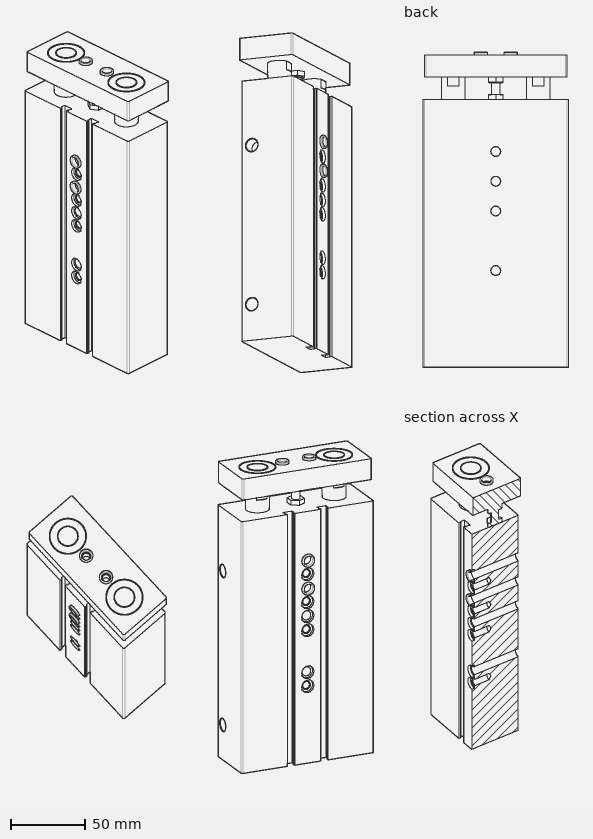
import cadquery as cq
import math

housing_width = 98.0
housing_depth = 38.0
housing_height = 180.0
housing_corner = 1.0
front_y = -housing_depth / 2

slot_inner_x = 10.0
slot_outer_x = 15.2
slot_depth = 5.0
slot_lip = 1.8
slot_chamfer = 0.5
slot_undercut = 0.7

hole_pitch = 10.0
through_hole_heights = (145.0, 125.0, 105.0, 65.0)
through_hole_diameter = 6.4
tapped_hole_diameter = 4.92
thread_diameter = 6.0
thread_chamfer = (thread_diameter - tapped_hole_diameter) / 2
tapped_hole_depth = 12.0
drill_point_angle = 118.0

sleeve_diameter = 9.0
sleeve_bore = 6.4
sleeve_seat_depth = 2.1
sleeve_protrusion = 1.8
sleeve_length = sleeve_seat_depth + sleeve_protrusion
sleeve_rim_radius = (sleeve_diameter - sleeve_bore) / 4
front_sleeve_heights = through_hole_heights[:2]

port_y = 11.3
port_diameter = 8.57
port_mouth_diameter = 9.4
port_chamfer = (port_mouth_diameter - port_diameter) / 2
upper_port_height = 135.0
lower_port_height = 25.0
upper_port_depth = 10.0

rod_x = 28.5
rod_diameter = 16.0
rod_end_diameter = 14.0
rod_end_chamfer = 0.4
flat_distance = 14.0
flat_height = 6.0
piston_diameter = 25.0
piston_bottom = 10.0
piston_length = 30.0

yoke_width = 96.0
yoke_depth = 39.0
yoke_thickness = 15.0
yoke_corner = 1.0
yoke_gap = 15.0
yoke_y = 1.5
yoke_bottom = housing_height + yoke_gap
yoke_top = yoke_bottom + yoke_thickness
yoke_sleeve_x = 10.0
yoke_hole_depth = 10.0
groove_outer_diameter = 25.0
groove_inner_diameter = 24.0
groove_depth = 0.3

screw_diameter = 6.0
nut_flats = 10.0
upper_nut_height = 4.0
lower_nut_height = 3.3
nut_chamfer = 0.7


def front_plane(z, depth=0.0):
    """Plane at height z, a given depth behind the front face, its normal pointing into the housing."""
    return cq.Plane(origin=(0, front_y + depth, z), xDir=(1, 0, 0), normal=(0, 1, 0))


def cylinder_on(plane, diameter, depth):
    return cq.Workplane(plane).circle(diameter / 2).extrude(depth)


def bore(x, diameter, bottom, top):
    """Upright cylinder on the rod plane y = 0."""
    return cq.Workplane("XY", origin=(x, 0, bottom)).circle(diameter / 2).extrude(top - bottom)


def drilled_hole(plane, diameter, depth, mouth_chamfer):
    """Cutter for a blind hole with a drill point and a countersunk mouth."""
    radius = diameter / 2
    point_length = radius / math.tan(math.radians(drill_point_angle / 2))
    profile = (
        cq.Workplane("XZ")
        .polyline([
            (0, 0),
            (radius + mouth_chamfer, 0),
            (radius, mouth_chamfer),
            (radius, depth),
            (0, depth + point_length),
        ])
        .close()
    )
    cutter = profile.revolve(360, (0, 0), (0, 1)).val()
    return cq.Workplane(cutter.moved(cq.Location(plane)))


def piston_rod(x):
    """Rod with a piston at its foot, wrench flats under the yoke and a slim end inside the yoke."""
    shank = bore(x, rod_diameter, piston_bottom, yoke_bottom)
    flats = (
        cq.Workplane("XY", origin=(x, 0, yoke_bottom - flat_height))
        .rect(rod_diameter, 2 * rod_diameter)
        .rect(rod_diameter, flat_distance)
        .extrude(flat_height)
    )
    piston = bore(x, piston_diameter, piston_bottom, piston_bottom + piston_length)
    rod_end = bore(x, rod_end_diameter, yoke_bottom, yoke_top).faces(">Z").chamfer(rod_end_chamfer)
    return shank.cut(flats).union(piston).union(rod_end)


def t_slot(side):
    """Cutter for one T-slot; side is -1 for the left slot and 1 for the right slot."""
    middle = side * (slot_inner_x + slot_outer_x) / 2
    mouth_width = slot_outer_x - slot_inner_x
    mouth = (
        cq.Workplane("XY", origin=(middle, front_y, 0))
        .rect(mouth_width, 2 * slot_depth)
        .extrude(housing_height)
    )
    head_depth = slot_depth - slot_lip
    head = (
        cq.Workplane("XY", origin=(middle, front_y + slot_lip + head_depth / 2, 0))
        .rect(mouth_width + 2 * slot_undercut, head_depth)
        .extrude(housing_height)
    )
    bevel = (
        cq.Workplane("XY")
        .polyline([
            (side * slot_inner_x, front_y),
            (side * (slot_inner_x - slot_chamfer), front_y),
            (side * slot_inner_x, front_y + slot_chamfer),
        ])
        .close()
        .extrude(housing_height)
    )
    return mouth.union(head).union(bevel)


def port_plane(z):
    """Plane on the left side at a port, its normal pointing into the housing."""
    return cq.Plane(origin=(-housing_width / 2, port_y, z), xDir=(0, 1, 0), normal=(1, 0, 0))


def build_housing(rods):
    body = (
        cq.Workplane("XY")
        .rect(housing_width, housing_depth)
        .extrude(housing_height)
        .edges("|Z")
        .fillet(housing_corner)
    )
    for side in (-1, 1):
        body = body.cut(t_slot(side))
    for height in through_hole_heights:
        body = body.cut(cylinder_on(front_plane(height), through_hole_diameter, housing_depth))
        body = body.cut(cylinder_on(front_plane(height), sleeve_diameter, sleeve_seat_depth))
        tapped_height = height - hole_pitch
        body = body.cut(cylinder_on(front_plane(tapped_height), sleeve_diameter, sleeve_seat_depth))
        seat_floor = front_plane(tapped_height, sleeve_seat_depth)
        body = body.cut(drilled_hole(seat_floor, tapped_hole_diameter, tapped_hole_depth, thread_chamfer))
    lower_port_depth = housing_width / 2 - rod_x
    port_depths = ((upper_port_height, upper_port_depth), (lower_port_height, lower_port_depth))
    for height, depth in port_depths:
        body = body.cut(drilled_hole(port_plane(height), port_diameter, depth, port_chamfer))
    for rod in rods:
        body = body.cut(rod)
    return body


def hexagon(bottom, height):
    """Hex nut on the screw axis with a corner toward the front."""
    across_corners = nut_flats / math.cos(math.pi / 6)
    corner_angle = 90
    return (
        cq.Workplane("XY", origin=(0, 0, bottom))
        .transformed(rotate=(0, 0, corner_angle))
        .polygon(6, across_corners)
        .extrude(height)
    )


def build_yoke():
    plate = (
        cq.Workplane("XY", origin=(0, yoke_y, yoke_bottom))
        .rect(yoke_width, yoke_depth)
        .extrude(yoke_thickness)
        .edges("|Z")
        .fillet(yoke_corner)
    )
    for side in (-1, 1):
        plate = plate.cut(bore(side * rod_x, rod_end_diameter, yoke_bottom, yoke_top))
        groove = bore(side * rod_x, groove_outer_diameter, yoke_top - groove_depth, yoke_top)
        groove = groove.cut(bore(side * rod_x, groove_inner_diameter, yoke_top - groove_depth, yoke_top))
        plate = plate.cut(groove)
        hole_x = side * yoke_sleeve_x
        plate = plate.cut(bore(hole_x, sleeve_diameter, yoke_top - sleeve_seat_depth, yoke_top))
        plate = plate.cut(bore(hole_x, tapped_hole_diameter, yoke_top - yoke_hole_depth, yoke_top))
    screw = bore(0, screw_diameter, housing_height, yoke_bottom)
    upper_nut = hexagon(yoke_bottom - upper_nut_height, upper_nut_height).faces("<Z").chamfer(nut_chamfer)
    lower_nut = hexagon(housing_height, lower_nut_height)
    return plate.union(screw).union(upper_nut).union(lower_nut)


def sleeve(plane):
    """Locating sleeve growing along the normal of the plane, with a half-round rim at its free end."""
    outer_radius = sleeve_diameter / 2
    inner_radius = sleeve_bore / 2
    rim_start = sleeve_length - sleeve_rim_radius
    profile = (
        cq.Workplane("XZ")
        .moveTo(inner_radius, 0)
        .lineTo(outer_radius, 0)
        .lineTo(outer_radius, rim_start)
        .threePointArc((inner_radius + sleeve_rim_radius, sleeve_length), (inner_radius, rim_start))
        .close()
    )
    ring = profile.revolve(360, (0, 0), (0, 1)).val()
    return cq.Workplane(ring.moved(cq.Location(plane)))


rods = [piston_rod(side * rod_x) for side in (-1, 1)]
housing = build_housing(rods)
yoke = build_yoke()

sleeves = []
for height in front_sleeve_heights:
    seat = cq.Plane(
        origin=(0, front_y + sleeve_seat_depth, height), xDir=(1, 0, 0), normal=(0, -1, 0)
    )
    sleeves.append(sleeve(seat))
for side in (-1, 1):
    seat = cq.Plane(
        origin=(side * yoke_sleeve_x, 0, yoke_top - sleeve_seat_depth), xDir=(1, 0, 0), normal=(0, 0, 1)
    )
    sleeves.append(sleeve(seat))

bodies = [housing, yoke] + rods + sleeves
result = cq.Compound.makeCompound([body.val() for body in bodies])